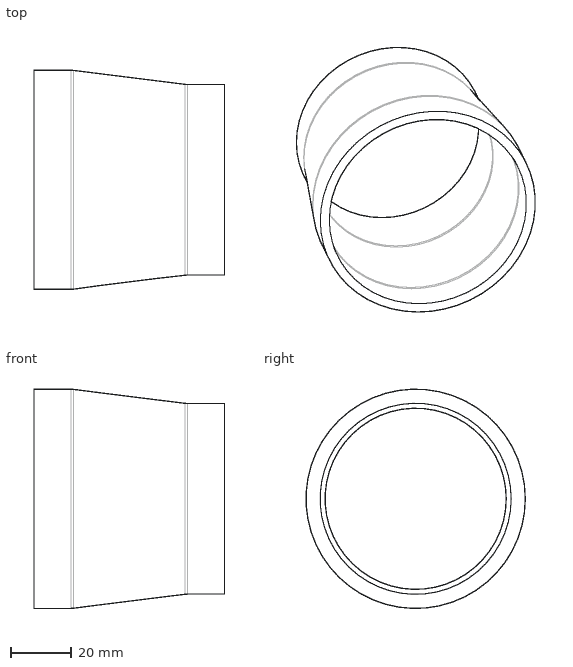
import math

import cadquery as cq

length = 63.5
wide_outer_diameter = 73.0
wide_inner_diameter = 66.9
narrow_outer_diameter = 63.5
narrow_inner_diameter = 60.2

collar_length = 12.8
blend_radius = 7.3

outer_taper_length = length - 2 * collar_length
slope = math.atan2((wide_outer_diameter - narrow_outer_diameter) / 2, outer_taper_length)


def reducer_body(wide_diameter, narrow_diameter):
    """Solid wide cylinder, taper and narrow cylinder with rounded transitions."""
    wide_radius = wide_diameter / 2
    narrow_radius = narrow_diameter / 2
    taper_end = collar_length + (wide_radius - narrow_radius) / math.tan(slope)

    tangent = blend_radius * math.tan(slope / 2)
    along = tangent * math.cos(slope)
    drop = tangent * math.sin(slope)

    return (
        cq.Workplane("XY")
        .lineTo(0, wide_radius)
        .lineTo(collar_length - tangent, wide_radius)
        .radiusArc((collar_length + along, wide_radius - drop), blend_radius)
        .lineTo(taper_end - along, narrow_radius + drop)
        .radiusArc((taper_end + tangent, narrow_radius), -blend_radius)
        .lineTo(length, narrow_radius)
        .lineTo(length, 0)
        .close()
        .revolve(360, (0, 0, 0), (1, 0, 0))
    )


outer_body = reducer_body(wide_outer_diameter, narrow_outer_diameter)
bore = reducer_body(wide_inner_diameter, narrow_inner_diameter)

result = outer_body.cut(bore)